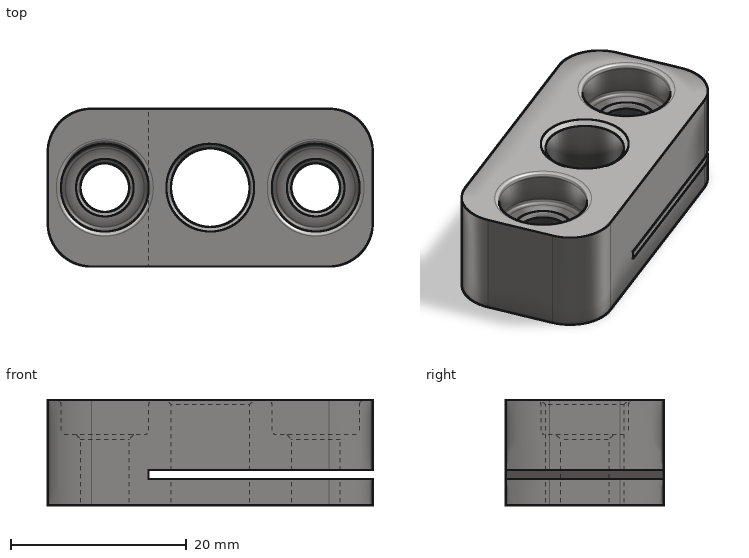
import cadquery as cq

length = 37.0
width = 18.0
height = 12.0
corner_radius = 5.0

hole_spacing = 12.0
edge_break = 0.5
center_diameter = 8.9
center_mouth_diameter = 10.0
screw_diameter = 5.5
counterbore_diameter = 10.0
counterbore_depth = 3.95

slot_length = 25.5
slot_bottom = 3.0
slot_height = 1.0


def make_block():
    """Upright block with rounded vertical corners, resting on Z = 0."""
    block = cq.Workplane("XY").box(length, width, height, centered=(True, True, False))
    return block.edges("|Z").fillet(corner_radius)


def make_center_hole():
    """Through bore with a chamfered mouth at the top face."""
    radius = center_diameter / 2
    mouth_radius = center_mouth_diameter / 2
    chamfer = mouth_radius - radius
    profile = (
        cq.Workplane("XZ")
        .lineTo(radius, 0)
        .lineTo(radius, height - chamfer)
        .lineTo(mouth_radius, height)
        .lineTo(0, height)
        .close()
    )
    return profile.revolve(360, (0, 0, 0), (0, 1, 0))


def make_screw_hole():
    """Through hole with a chamfer below a counterbore rounded at its floor and mouth."""
    hole_radius = screw_diameter / 2
    bore_radius = counterbore_diameter / 2
    floor = height - counterbore_depth
    round_drop = edge_break * (1 - 0.5**0.5)
    profile = (
        cq.Workplane("XZ")
        .lineTo(hole_radius, 0)
        .lineTo(hole_radius, floor - edge_break)
        .lineTo(hole_radius + edge_break, floor)
        .lineTo(bore_radius - edge_break, floor)
        .threePointArc((bore_radius - round_drop, floor + round_drop), (bore_radius, floor + edge_break))
        .lineTo(bore_radius, height - edge_break)
        .threePointArc((bore_radius + round_drop, height - round_drop), (bore_radius + edge_break, height))
        .lineTo(0, height)
        .close()
    )
    return profile.revolve(360, (0, 0, 0), (0, 1, 0))


def make_slot():
    """Thin horizontal cut across the full width."""
    return (
        cq.Workplane("XY")
        .box(slot_length, width, slot_height, centered=(False, True, False))
        .translate((length / 2 - slot_length, 0, slot_bottom))
    )


result = make_block().cut(make_center_hole()).cut(make_slot())
for side in (-1, 1):
    result = result.cut(make_screw_hole().translate((side * hole_spacing, 0, 0)))